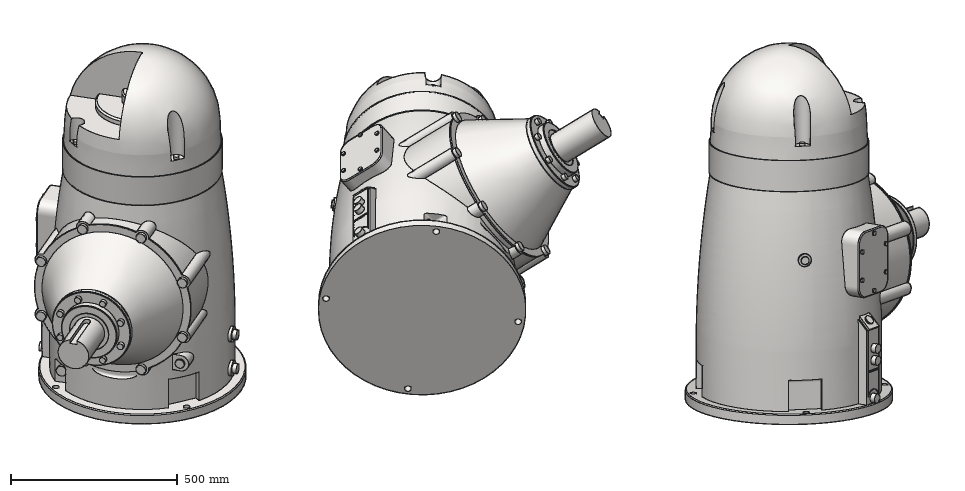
import cadquery as cq
import math

total_height = 1099.0
base_radius = 312.0
base_thickness = 32.0
base_edge_chamfer = 3.0
column_radius = 279.0
column_straight_top = 216.0
column_bulge_radius = 267.0
band_bottom = 704.0
band_top = 801.0
band_radius = 241.0
shoulder_radius = 237.0
dome_bottom = 871.0
dome_radius = 234.0

cutout_floor = 916.0
disc_radius = 142.0
disc_top = 936.0
disc_edge = 5.0
hub_radius = 62.0
hub_top = 967.0
hub_edge = 4.0
hub_bore_radius = 25.0
hub_bore_depth = 3.0
pocket_offset = 158.0
pocket_bottom = 844.0
pocket_bottom_radius = 24.0
pocket_top_radius = 29.0
screw_radius = 9.0
screw_height = 8.0

input_height = 409.0
housing_radius = 245.0
plate_radius = 247.0
plate_thickness = 5.0
plate_front = 291.0
cone_base_radius = 223.0
cone_end_radius = 121.0
cone_end = 482.0
ring_radius = 124.0
ring_front = 499.0
cover_radius = 88.0
cover_front = 521.0
nose_edge = 2.0
seal_radius = 62.0
seal_depth = 3.0
shaft_radius = 48.0
shaft_end = 672.0
keyway_width = 22.0
keyway_depth = 13.0
keyway_start = 532.0
bolt_count = 8
flange_bolt_circle = 242.0
flange_boss_radius = 22.0
flange_boss_back = 88.0
flange_bolt_radius = 15.0
flange_bolt_height = 11.0
ring_bolt_circle = 103.0
ring_bolt_radius = 10.0
ring_bolt_height = 12.0
relief_radius = 278.0
relief_depth = 270.0
relief_fillet = 9.0

box_face = 310.0
box_width = 157.0
box_bottom = 368.0
box_top = 573.0
box_corner = 37.0
box_edge = 3.0
box_screw_radius = 7.0
box_screw_height = 4.0
box_screw_side = 63.0
box_screw_rise = 44.0
box_screw_end = 89.0
strip_face = 310.0
strip_width = 64.0
strip_top = 304.0
strip_chamfer = 42.0
strip_bolt_radius = 14.0
strip_bolt_height = 16.0
strip_bolt_heights = (166.0, 203.0)
strip_foot_bolt_height = 48.0
strip_plate_width = 53.0
strip_plate_thickness = 3.0
strip_joint_height = 134.0
strip_joint_width = 4.0
strip_foot_radius = 27.0
strip_pad_length = 57.0
strip_pad_thickness = 4.0
slope_bolt_height = 4.0

side_plug_heights = (73.0, 188.0)
side_washer_radius = 24.0
side_washer_face = 288.0
side_plug_radius = 15.0
side_plug_face = 301.0
oil_plug_height = 498.0
oil_washer_radius = 20.0
oil_washer_face = 269.0
oil_plug_radius = 12.0
oil_plug_face = 275.0
pad_x = 192.0
pad_z = 186.0
pad_radius = 26.0
pad_face = 223.0
pad_plug_radius = 14.0
pad_plug_length = 7.0
corner_notch = 171.0
corner_notch_top = 111.0
corner_notch_fillet = 8.0
slot_width = 102.0
slot_floor = 255.0
slot_top = 129.0
slot_fillet = 13.0
notch_bolt_x = -198.0
notch_bolt_z = 74.0
notch_bolt_radius = 16.0
notch_bolt_length = 9.0
base_hole_offset = 207.0
base_hole_radius = 10.0

DIAGONALS = [(sx, sy) for sx in (-1, 1) for sy in (-1, 1)]


def rod(x, y, z, direction, radius, length):
    """Cylinder from a start point along a direction."""
    return cq.Workplane(obj=cq.Solid.makeCylinder(
        radius, length, cq.Vector(x, y, z), cq.Vector(*direction)))


def input_rod(radius, start, end):
    """Cylinder on the input axis between two distances toward -Y."""
    return rod(0, -start, input_height, (0, -1, 0), radius, end - start)


def block(x0, x1, y0, y1, z0, z1):
    """Axis-aligned box between two corners."""
    return cq.Workplane("XY").box(x1 - x0, y1 - y0, z1 - z0, centered=False).translate((x0, y0, z0))


def input_circle(radius):
    """X and Z of the bolts on a circle round the input axis, straddling the X and Z directions."""
    step = 2 * math.pi / bolt_count
    angles = [step * (i + 0.5) for i in range(bolt_count)]
    return [(radius * math.cos(a), input_height + radius * math.sin(a)) for a in angles]


def make_column():
    dome_rise = total_height - dome_bottom
    sphere_radius = (dome_radius ** 2 + dome_rise ** 2) / (2 * dome_rise)
    sphere_z = total_height - sphere_radius
    half_way = sphere_radius * math.sqrt(0.5)
    dome_mid = (half_way, sphere_z + half_way)
    bulge_mid = (column_bulge_radius, (column_straight_top + band_bottom) / 2)
    return (
        cq.Workplane("XZ")
        .lineTo(base_radius, 0)
        .lineTo(base_radius, base_thickness - base_edge_chamfer)
        .lineTo(base_radius - base_edge_chamfer, base_thickness)
        .lineTo(column_radius, base_thickness)
        .lineTo(column_radius, column_straight_top)
        .threePointArc(bulge_mid, (shoulder_radius, band_bottom))
        .lineTo(band_radius, band_bottom)
        .lineTo(band_radius, band_top)
        .lineTo(shoulder_radius, band_top)
        .lineTo(dome_radius, dome_bottom)
        .threePointArc(dome_mid, (0, total_height))
        .close()
        .revolve(360, (0, 0, 0), (0, 1, 0))
    )


def cut_dome(body):
    """Open the -X -Y quarter of the dome onto a stepped hub, then sink the cap screws."""
    quarter = block(-band_radius, 0, -band_radius, 0, cutout_floor, total_height)
    disc = rod(0, 0, cutout_floor, (0, 0, 1), disc_radius, disc_top - cutout_floor)
    disc = disc.faces(">Z").edges().chamfer(disc_edge)
    hub = rod(0, 0, cutout_floor, (0, 0, 1), hub_radius, hub_top - cutout_floor)
    hub = hub.faces(">Z").edges().chamfer(hub_edge)
    bore = rod(0, 0, hub_top - hub_bore_depth, (0, 0, 1), hub_bore_radius, hub_bore_depth)
    body = body.cut(quarter.cut(disc.union(hub).cut(bore)))
    for sx, sy in DIAGONALS:
        place = cq.Vector(sx * pocket_offset, sy * pocket_offset, pocket_bottom)
        pocket = cq.Solid.makeCone(
            pocket_bottom_radius, pocket_top_radius, total_height - pocket_bottom, place, cq.Vector(0, 0, 1))
        body = body.cut(cq.Workplane(obj=pocket))
        screw_root = pocket_bottom - screw_height
        body = body.union(rod(place.x, place.y, screw_root, (0, 0, 1), screw_radius, 2 * screw_height))
    return body


def add_input_housing(body):
    relief = input_rod(relief_radius, relief_depth, base_radius)
    body = body.cut(relief.faces(">Y").edges().fillet(relief_fillet))
    body = body.union(input_rod(housing_radius, 0, plate_front))
    body = body.union(input_rod(plate_radius, plate_front - plate_thickness, plate_front))
    boss_length = plate_front - flange_boss_back
    for x, z in input_circle(flange_bolt_circle):
        body = body.union(rod(x, -flange_boss_back, z, (0, -1, 0), flange_boss_radius, boss_length))
        body = body.union(rod(x, -plate_front, z, (0, -1, 0), flange_bolt_radius, flange_bolt_height))
    nose = (
        cq.Workplane("XY")
        .lineTo(cone_base_radius, 0)
        .lineTo(cone_base_radius, -plate_front)
        .lineTo(cone_end_radius, -cone_end)
        .lineTo(ring_radius, -cone_end)
        .lineTo(ring_radius, -ring_front + nose_edge)
        .lineTo(ring_radius - nose_edge, -ring_front)
        .lineTo(cover_radius, -ring_front)
        .lineTo(cover_radius, -cover_front + nose_edge)
        .lineTo(cover_radius - nose_edge, -cover_front)
        .lineTo(seal_radius, -cover_front)
        .lineTo(seal_radius, -cover_front + seal_depth)
        .lineTo(shaft_radius, -cover_front + seal_depth)
        .lineTo(shaft_radius, -shaft_end)
        .lineTo(0, -shaft_end)
        .close()
        .revolve(360, (0, 0, 0), (0, 1, 0))
        .translate((0, 0, input_height))
    )
    body = body.union(nose)
    for x, z in input_circle(ring_bolt_circle):
        body = body.union(rod(x, -ring_front, z, (0, -1, 0), ring_bolt_radius, ring_bolt_height))
    return body.cut(make_keyway())


def make_keyway():
    """Slot in the top of the shaft, round at its inner end and open at the shaft end."""
    floor = input_height + shaft_radius - keyway_depth
    half = keyway_width / 2
    slot = block(-half, half, -shaft_end, -keyway_start - half, floor, floor + shaft_radius)
    return slot.union(rod(0, -keyway_start - half, floor, (0, 0, 1), half, shaft_radius))


def add_inspection_box(body):
    half = box_width / 2
    box = block(-box_face, 0, -half, half, box_bottom, box_top)
    box = box.edges("|X").fillet(box_corner).faces("<X").edges().chamfer(box_edge)
    body = body.union(box)
    middle = (box_bottom + box_top) / 2
    places = [(sy * box_screw_side, sz * box_screw_rise) for sy, sz in DIAGONALS]
    places += [(0, box_screw_end), (0, -box_screw_end)]
    for y, dz in places:
        body = body.union(rod(-box_face, y, middle + dz, (-1, 0, 0), box_screw_radius, box_screw_height))
    return body


def strip_block(face, width):
    """Upright bar out to a given -X face, sloping at the top."""
    bar = block(-face, 0, -width / 2, width / 2, 0, strip_top)
    return bar.edges("<X and >Z").chamfer(strip_chamfer)


def add_terminal_strip(body):
    base_face = strip_face - strip_plate_thickness
    half = strip_plate_width / 2
    gap = strip_joint_width / 2
    joint = block(-strip_face, -base_face, -half, half, strip_joint_height - gap, strip_joint_height + gap)
    foot_round = rod(
        -base_face, 0, strip_foot_bolt_height, (-1, 0, 0), strip_foot_radius, strip_plate_thickness)
    foot_clear = block(-strip_face, -base_face, -half, half, 0, strip_foot_bolt_height)
    plate = strip_block(strip_face, strip_plate_width).cut(joint).cut(foot_round).cut(foot_clear)
    body = body.union(strip_block(base_face, strip_width)).union(plate)
    for z in strip_bolt_heights:
        body = body.union(rod(-strip_face, 0, z, (-1, 0, 0), strip_bolt_radius, strip_bolt_height))
    body = body.union(
        rod(-base_face, 0, strip_foot_bolt_height, (-1, 0, 0), strip_bolt_radius, strip_bolt_height))
    slope = cq.Plane(
        origin=(-strip_face + strip_chamfer / 2, 0, strip_top - strip_chamfer / 2),
        xDir=(0, 1, 0), normal=(-1, 0, 1))
    pad = cq.Workplane(slope).rect(strip_plate_width, strip_pad_length).extrude(strip_pad_thickness)
    bolt = cq.Workplane(slope).circle(strip_bolt_radius).extrude(strip_pad_thickness + slope_bolt_height)
    return body.union(pad).union(bolt)


def add_plugs(body):
    for z in side_plug_heights:
        body = body.union(rod(0, 0, z, (1, 0, 0), side_washer_radius, side_washer_face))
        body = body.union(rod(0, 0, z, (1, 0, 0), side_plug_radius, side_plug_face))
    body = body.union(rod(0, 0, oil_plug_height, (-1, 1, 0), oil_washer_radius, oil_washer_face))
    body = body.union(rod(0, 0, oil_plug_height, (-1, 1, 0), oil_plug_radius, oil_plug_face))
    body = body.union(rod(pad_x, 0, pad_z, (0, -1, 0), pad_radius, pad_face))
    body = body.union(block(0, pad_x, -pad_face, 0, pad_z - pad_radius, pad_z + pad_radius))
    return body.union(rod(pad_x, 0, pad_z, (0, -1, 0), pad_plug_radius, pad_face + pad_plug_length))


def make_corner_notch():
    """Recess in the -X -Y corner with one wall along X, one along Y and rounded inner edges."""
    notch = block(-base_radius, -corner_notch, -base_radius, -corner_notch, base_thickness, corner_notch_top)
    return notch.edges("(>X and >Y) or (>Z and (>X or >Y))").fillet(corner_notch_fillet)


def make_foot_slot(angle):
    """Flat-floored recess square to a radius, rounded where the floor meets the roof."""
    half = slot_width / 2
    slot = block(slot_floor, base_radius, -half, half, base_thickness, slot_top)
    slot = slot.edges("<X and >Z").fillet(slot_fillet)
    return slot.rotate((0, 0, 0), (0, 0, 1), angle)


def cut_foot(body):
    body = body.cut(make_corner_notch())
    for angle in (-45, 45, 135):
        body = body.cut(make_foot_slot(angle))
    for sx, sy in DIAGONALS:
        x = sx * base_hole_offset
        y = sy * base_hole_offset
        body = body.cut(rod(x, y, 0, (0, 0, 1), base_hole_radius, base_thickness))
    bolt = rod(notch_bolt_x, -corner_notch, notch_bolt_z, (0, -1, 0), notch_bolt_radius, notch_bolt_length)
    return body.union(bolt)


result = make_column()
result = cut_dome(result)
result = add_input_housing(result)
result = add_inspection_box(result)
result = add_terminal_strip(result)
result = add_plugs(result)
result = cut_foot(result)